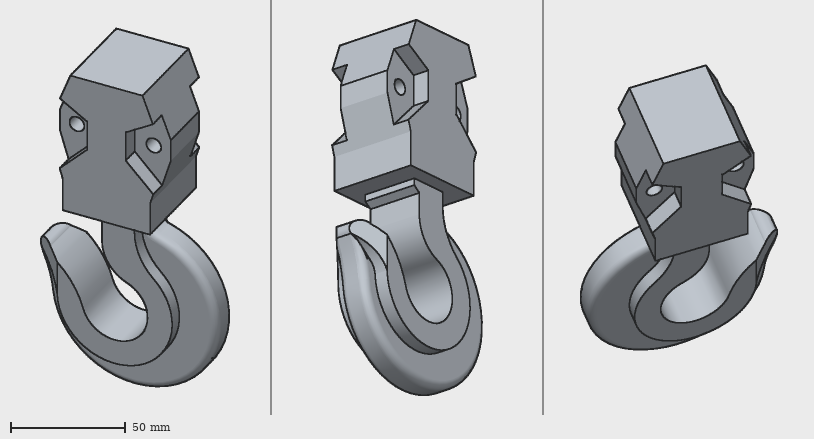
import cadquery as cq
import math

OVERALL_HEIGHT = 162.3
BLOCK_HEIGHT = 71.0
BLOCK_DEPTH = 43.7
TOP_HALF_WIDTH = 17.9
WAIST_HALF_WIDTH = 27.5
BASE_HALF_WIDTH = 21.6
WAIST_TOP_Z = 46.0
WAIST_BOTTOM_Z = 35.2
BASE_TOP_Z = 16.2

LUG_THICKNESS = 26.8
POCKET_INNER_X = 9.5
POCKET_TOP_Z = 49.5
POCKET_BOTTOM_Z = 34.9
POCKET_TOP_ANGLE = 31
POCKET_BOTTOM_ANGLE = 45
LUG_HOLE_X = 19.0
LUG_HOLE_Z = 40.7
LUG_HOLE_DIAMETER = 7.3

BAND_THICKNESS = 28.0
BOWL_Z = -49.0
BOWL_RADIUS = 16.2
BAND_RADIUS = 28.4
SHANK_HALF_WIDTH = 9.7
SHANK_STEP = 3.4
STEP_TOP_Z = -3.2
STEP_BOTTOM_Z = -5.8
NECK_INNER_Z = -15.9
NECK_OUTER_Z = -6.5

THROAT_END_DROP = 4.5
THROAT_MIDDLE = (-23.0, -39.0)
TIP_UPPER = (-34.0, -29.0)
TIP_CREST = (-40.0, -28.1)
TIP_LOWER = (-41.2, -34.3)
UNDERSIDE_MIDDLE = (-32.3, -41.7)
UNDERSIDE_END_DROP = 1.3
TIP_END_X = -41.9
TIP_END_THICKNESS = 7.5

RIM_THICKNESS = 14.3
RIM_FILLET = 3.5
RIM_X = 5.7
RIM_RADIUS = 41.4
RIM_Z = BLOCK_HEIGHT - OVERALL_HEIGHT + RIM_RADIUS
RIM_LEFT_Z = -54.4
RIM_TOP_X = 17.4
RIM_ROOT_MIDDLE = (13.1, -8.0)
RIM_ROOT_Z = -3.9


def plate(outline, thickness):
    """Extrude a closed XZ outline symmetrically about Y = 0."""
    return outline.close().extrude(thickness / 2, both=True)


def make_block():
    half_outline = [
        (TOP_HALF_WIDTH, BLOCK_HEIGHT),
        (WAIST_HALF_WIDTH, WAIST_TOP_Z),
        (WAIST_HALF_WIDTH, WAIST_BOTTOM_Z),
        (BASE_HALF_WIDTH, BASE_TOP_Z),
        (BASE_HALF_WIDTH, 0),
    ]
    mirrored_outline = [(-x, z) for x, z in reversed(half_outline)]
    block = plate(cq.Workplane("XZ").polyline(half_outline + mirrored_outline), BLOCK_DEPTH)
    for side in (-1, 1):
        block = block.cut(make_pockets(side))
    holes = cq.Workplane("XZ").pushPoints([(-LUG_HOLE_X, LUG_HOLE_Z), (LUG_HOLE_X, LUG_HOLE_Z)])
    return block.cut(holes.circle(LUG_HOLE_DIAMETER / 2).extrude(BLOCK_DEPTH, both=True))


def make_pockets(side):
    """Front and back pockets on one side (-1 or 1) of the block, open outward."""
    reach = WAIST_HALF_WIDTH - POCKET_INNER_X
    top_rise = reach * math.tan(math.radians(POCKET_TOP_ANGLE))
    bottom_drop = reach * math.tan(math.radians(POCKET_BOTTOM_ANGLE))
    outline = [
        (side * POCKET_INNER_X, POCKET_TOP_Z),
        (side * WAIST_HALF_WIDTH, POCKET_TOP_Z + top_rise),
        (side * WAIST_HALF_WIDTH, POCKET_BOTTOM_Z - bottom_drop),
        (side * POCKET_INNER_X, POCKET_BOTTOM_Z),
    ]
    through_pocket = plate(cq.Workplane("XZ").polyline(outline), BLOCK_DEPTH)
    lug = cq.Workplane("XY").box(4 * WAIST_HALF_WIDTH, LUG_THICKNESS, 4 * BLOCK_HEIGHT)
    return through_pocket.cut(lug)


def neck_arc(start_x, start_z, bowl_radius):
    """Middle and end of the arc that leaves a vertical line and meets a bowl circle tangentially."""
    drop = start_z - BOWL_Z
    radius = (start_x**2 + drop**2 - bowl_radius**2) / (2 * (bowl_radius - start_x))
    center_x = start_x + radius
    turn = math.atan2(drop, center_x)
    middle = (center_x - radius * math.cos(turn / 2), start_z - radius * math.sin(turn / 2))
    end = (bowl_radius * math.cos(turn), BOWL_Z + bowl_radius * math.sin(turn))
    return middle, end


def make_band():
    throat_end_x = -math.sqrt(BOWL_RADIUS**2 - THROAT_END_DROP**2)
    underside_end_x = -math.sqrt(BAND_RADIUS**2 - UNDERSIDE_END_DROP**2)
    inner_x = SHANK_STEP - SHANK_HALF_WIDTH
    inner_middle, inner_end = neck_arc(inner_x, NECK_INNER_Z, BOWL_RADIUS)
    outer_middle, outer_end = neck_arc(SHANK_HALF_WIDTH, NECK_OUTER_Z, BAND_RADIUS)
    outline = (
        cq.Workplane("XZ")
        .moveTo(SHANK_HALF_WIDTH, 0)
        .lineTo(-SHANK_HALF_WIDTH, 0)
        .lineTo(-SHANK_HALF_WIDTH, STEP_TOP_Z)
        .lineTo(inner_x, STEP_BOTTOM_Z)
        .lineTo(inner_x, NECK_INNER_Z)
        .threePointArc(inner_middle, inner_end)
        .threePointArc((0, BOWL_Z - BOWL_RADIUS), (throat_end_x, BOWL_Z - THROAT_END_DROP))
        .threePointArc(THROAT_MIDDLE, TIP_UPPER)
        .threePointArc(TIP_CREST, TIP_LOWER)
        .threePointArc(UNDERSIDE_MIDDLE, (underside_end_x, BOWL_Z - UNDERSIDE_END_DROP))
        .threePointArc((0, BOWL_Z - BAND_RADIUS), outer_end)
        .threePointArc(outer_middle, (SHANK_HALF_WIDTH, NECK_OUTER_Z))
    )
    return plate(outline, BAND_THICKNESS)


class OuterRimEdges(cq.Selector):
    """Edges that lie outside the thick band."""

    def filter(self, edges):
        def is_outer(edge):
            middle = edge.positionAt(0.5)
            return math.hypot(middle.x, middle.z - BOWL_Z) > BAND_RADIUS

        return [edge for edge in edges if is_outer(edge)]


def make_rim():
    """Rounded rim; its inner boundary lies inside the band."""
    left_x = RIM_X - math.sqrt(RIM_RADIUS**2 - (RIM_LEFT_Z - RIM_Z) ** 2)
    top_z = RIM_Z + math.sqrt(RIM_RADIUS**2 - (RIM_TOP_X - RIM_X) ** 2)
    diagonal = RIM_RADIUS * math.sqrt(0.5)
    band_middle_radius = (BOWL_RADIUS + BAND_RADIUS) / 2
    outline = (
        cq.Workplane("XZ")
        .moveTo(-band_middle_radius, BOWL_Z)
        .threePointArc((0, BOWL_Z - band_middle_radius), (band_middle_radius, BOWL_Z))
        .lineTo(0, NECK_INNER_Z)
        .lineTo(0, RIM_ROOT_Z)
        .lineTo(SHANK_HALF_WIDTH, RIM_ROOT_Z)
        .threePointArc(RIM_ROOT_MIDDLE, (RIM_TOP_X, top_z))
        .threePointArc((RIM_X + RIM_RADIUS, RIM_Z), (RIM_X, RIM_Z - RIM_RADIUS))
        .threePointArc((RIM_X - diagonal, RIM_Z - diagonal), (left_x, RIM_LEFT_Z))
        .tangentArcPoint(TIP_LOWER, relative=False)
    )
    rim = plate(outline, RIM_THICKNESS)
    return rim.faces("<Y or >Y").edges(OuterRimEdges()).fillet(RIM_FILLET)


def make_tip_taper():
    """Material to remove so that the tip narrows to both sides of Y = 0."""
    half_band = BAND_THICKNESS / 2
    half_end = TIP_END_THICKNESS / 2
    past_end_x = TIP_END_X + half_end * (TIP_END_X + BAND_RADIUS) / (half_band - half_end)
    back_half = [(-BAND_RADIUS, half_band), (past_end_x, 0), (past_end_x, half_band)]
    taper = cq.Workplane("XY").polyline(back_half).close().extrude(-OVERALL_HEIGHT)
    return taper.union(taper.mirror("XZ"))


def make_hook():
    return make_band().union(make_rim()).cut(make_tip_taper())


block = make_block()
hook = make_hook()
result = cq.Compound.makeCompound([block.val(), hook.val()])